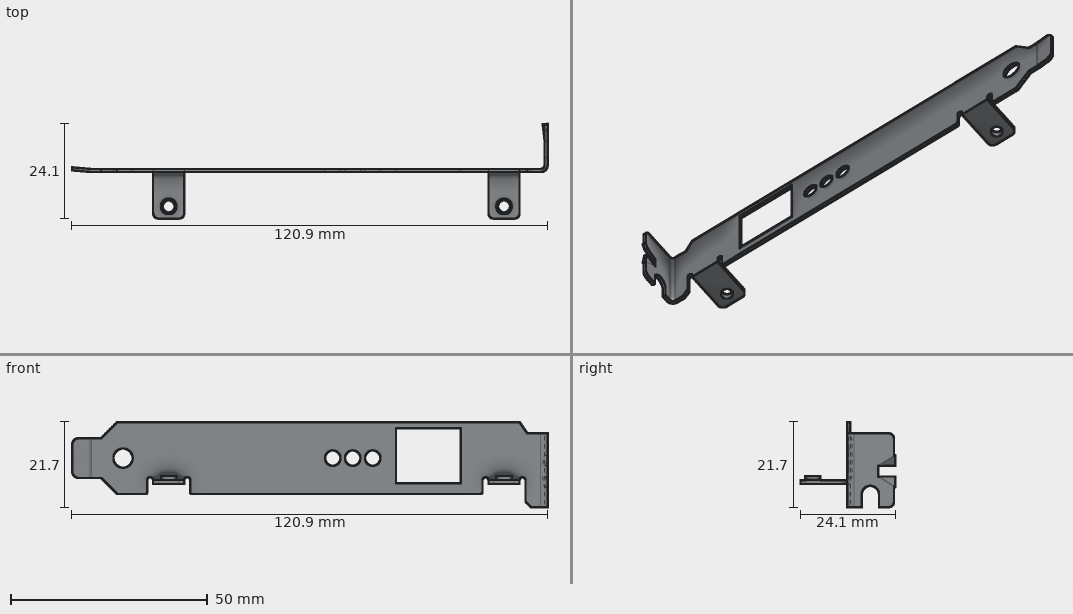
import cadquery as cq
import math


LENGTH = 120.9
SHEET = 0.8
PANEL_HEIGHT = 18.3
FLANGE_BOTTOM = -3.4
FLANGE_TOP = 15.5
FLANGE_DEPTH = 12.0
BEND_OUTER_RADIUS = 1.8
BEND_INNER_RADIUS = BEND_OUTER_RADIUS - SHEET

TONGUE_HEIGHT = 10.2
TONGUE_TILT = 5.0
TONGUE_FOLD_X = 5.0
TONGUE_BEND_INNER_RADIUS = 3.9
TONGUE_BEND_OUTER_RADIUS = TONGUE_BEND_INNER_RADIUS + SHEET
TONGUE_CORNER_RADIUS = 1.7
TAPER_START_X = 7.4
TAPER_END_X = TAPER_START_X + (PANEL_HEIGHT - TONGUE_HEIGHT) / 2

TOP_CHAMFER_START_X = 113.7
TOP_CHAMFER_END_X = 115.7
FOOT_CHAMFER = 1.5

MID_Z = PANEL_HEIGHT / 2
MOUNT_HOLE_X = 12.9
MOUNT_HOLE_DIAMETER = 4.8
LED_HOLE_DIAMETER = 3.9
LED_PITCH = 5.1
LED_MIDDLE_X = 71.3
LED_COUNT = 3
WINDOW_LEFT = 82.3
WINDOW_BOTTOM = 2.8
WINDOW_WIDTH = 16.4
WINDOW_HEIGHT = 13.9

EAR_CENTRES_X = (24.5, 109.7)
EAR_WIDTH = 8.0
EAR_REACH = 11.8
EAR_BOTTOM = 2.5
EAR_THICKNESS = 1.0
EAR_TOP = EAR_BOTTOM + EAR_THICKNESS
EAR_CORNER_RADIUS = 1.5
RELIEF_WIDTH = 1.5
NOTCH_WIDTH = EAR_WIDTH + 2 * RELIEF_WIDTH
NOTCH_LIP_RADIUS = 0.5
FOOT_X = EAR_CENTRES_X[1] + NOTCH_WIDTH / 2
BOSS_DIAMETER = 4.0
BOSS_HEIGHT = 1.1
BOSS_HOLE_DIAMETER = 3.0
BOSS_Y = -8.7

FLANGE_CORNER_RADIUS = 1.5
SCREW_SLOT_Y = 5.9
SCREW_SLOT_WIDTH = 4.4
SCREW_SLOT_TOP = 2.0
REAR_SLOT_Z = 5.8
REAR_SLOT_WIDTH = 2.9
REAR_SLOT_BOTTOM_Y = 8.0

FLAP_END_Y = 12.2
FLAP_RISE = 2.7
FLAP_ANGLE = 12.0


def box(x_range, y_range, z_range):
    """Box spanning the given ranges."""
    size = [high - low for low, high in (x_range, y_range, z_range)]
    return cq.Workplane("XY").box(*size, centered=False).translate((x_range[0], y_range[0], z_range[0]))


def bent_strip():
    """Sheet seen edge-on: tilted tongue, straight panel, round bend and flange."""
    tilt = math.radians(TONGUE_TILT)

    def tongue_bend(radius, angle):
        """Point on the tongue bend, whose centre lies behind the panel."""
        return (TONGUE_FOLD_X - radius * math.sin(angle), TONGUE_BEND_OUTER_RADIUS - radius * math.cos(angle))

    def tongue_end(radius):
        """Tip of the tongue face that leaves the bend at the given radius."""
        x, y = tongue_bend(radius, tilt)
        return (0, y + x * math.tan(tilt))

    bend_x = LENGTH - BEND_OUTER_RADIUS
    half = math.sqrt(0.5)
    outer_mid = BEND_OUTER_RADIUS * half
    inner_mid = BEND_INNER_RADIUS * half
    return (
        cq.Workplane("XY", origin=(0, 0, FLANGE_BOTTOM))
        .moveTo(*tongue_end(TONGUE_BEND_OUTER_RADIUS))
        .lineTo(*tongue_bend(TONGUE_BEND_OUTER_RADIUS, tilt))
        .threePointArc(tongue_bend(TONGUE_BEND_OUTER_RADIUS, tilt / 2), (TONGUE_FOLD_X, 0))
        .lineTo(bend_x, 0)
        .threePointArc((bend_x + outer_mid, BEND_OUTER_RADIUS - outer_mid), (LENGTH, BEND_OUTER_RADIUS))
        .lineTo(LENGTH, FLANGE_DEPTH)
        .lineTo(LENGTH - SHEET, FLANGE_DEPTH)
        .lineTo(LENGTH - SHEET, BEND_OUTER_RADIUS)
        .threePointArc((bend_x + inner_mid, BEND_OUTER_RADIUS - inner_mid), (bend_x, SHEET))
        .lineTo(TONGUE_FOLD_X, SHEET)
        .threePointArc(
            tongue_bend(TONGUE_BEND_INNER_RADIUS, tilt / 2),
            tongue_bend(TONGUE_BEND_INNER_RADIUS, tilt),
        )
        .lineTo(*tongue_end(TONGUE_BEND_INNER_RADIUS))
        .close()
        .extrude(PANEL_HEIGHT - FLANGE_BOTTOM)
    )


def front_outline():
    """Front outline of the bracket as a block deep enough to trim the whole strip."""
    tongue_bottom = MID_Z - TONGUE_HEIGHT / 2
    tongue_top = MID_Z + TONGUE_HEIGHT / 2
    block = (
        cq.Workplane("XZ")
        .moveTo(0, tongue_bottom)
        .lineTo(TAPER_START_X, tongue_bottom)
        .lineTo(TAPER_END_X, 0)
        .lineTo(FOOT_X, 0)
        .lineTo(FOOT_X, FLANGE_BOTTOM + FOOT_CHAMFER)
        .lineTo(FOOT_X + FOOT_CHAMFER, FLANGE_BOTTOM)
        .lineTo(LENGTH, FLANGE_BOTTOM)
        .lineTo(LENGTH, FLANGE_TOP)
        .lineTo(TOP_CHAMFER_END_X, FLANGE_TOP)
        .lineTo(TOP_CHAMFER_START_X, PANEL_HEIGHT)
        .lineTo(TAPER_END_X, PANEL_HEIGHT)
        .lineTo(TAPER_START_X, tongue_top)
        .lineTo(0, tongue_top)
        .close()
        .extrude(-FLANGE_DEPTH)
    )
    return block.edges("|Y and <X").fillet(TONGUE_CORNER_RADIUS)


def panel_openings():
    """Mounting hole, row of LED holes and connector window."""
    led_places = [(LED_MIDDLE_X + (i - (LED_COUNT - 1) / 2) * LED_PITCH, MID_Z) for i in range(LED_COUNT)]
    holes = cq.Workplane("XZ").pushPoints([(MOUNT_HOLE_X, MID_Z)]).circle(MOUNT_HOLE_DIAMETER / 2).extrude(-SHEET)
    leds = cq.Workplane("XZ").pushPoints(led_places).circle(LED_HOLE_DIAMETER / 2).extrude(-SHEET)
    window = box(
        (WINDOW_LEFT, WINDOW_LEFT + WINDOW_WIDTH),
        (0, SHEET),
        (WINDOW_BOTTOM, WINDOW_BOTTOM + WINDOW_HEIGHT),
    )
    return holes.union(leds).union(window)


def ear_notch(centre_x):
    """Notch in the lower panel edge up to the ear, with a round-topped relief at each side."""
    half = NOTCH_WIDTH / 2
    relief_radius = RELIEF_WIDTH / 2
    relief_offset = half - relief_radius
    notch = box((centre_x - half, centre_x + half), (0, SHEET), (0, EAR_BOTTOM))
    for side in (-1, 1):
        relief_x = centre_x + side * relief_offset
        relief = box(
            (relief_x - relief_radius, relief_x + relief_radius),
            (0, SHEET),
            (0, EAR_TOP),
        )
        round_top = cq.Workplane("XZ").center(relief_x, EAR_TOP).circle(relief_radius).extrude(-SHEET)
        notch = notch.union(relief).union(round_top)
    return notch


def ear(centre_x):
    """Horizontal ear with rounded front corners and a drilled boss on top."""
    half = EAR_WIDTH / 2
    plate = box((centre_x - half, centre_x + half), (-EAR_REACH, SHEET), (EAR_BOTTOM, EAR_TOP))
    plate = plate.edges("|Z and <Y").fillet(EAR_CORNER_RADIUS)
    axis = cq.Workplane("XY", origin=(centre_x, BOSS_Y, EAR_BOTTOM))
    boss = axis.circle(BOSS_DIAMETER / 2).extrude(EAR_THICKNESS + BOSS_HEIGHT)
    hole = axis.circle(BOSS_HOLE_DIAMETER / 2).extrude(EAR_THICKNESS + BOSS_HEIGHT)
    return plate.union(boss).cut(hole)


def flange_cutouts():
    """Screw slot, and the rear slot widened by the two triangles that are folded away."""
    radius = SCREW_SLOT_WIDTH / 2
    half_slot = REAR_SLOT_WIDTH / 2
    flange_plane = cq.Workplane("YZ", origin=(LENGTH - SHEET, 0, 0))
    screw_slot = (
        flange_plane.moveTo(SCREW_SLOT_Y - radius, FLANGE_BOTTOM)
        .lineTo(SCREW_SLOT_Y + radius, FLANGE_BOTTOM)
        .lineTo(SCREW_SLOT_Y + radius, SCREW_SLOT_TOP - radius)
        .threePointArc((SCREW_SLOT_Y, SCREW_SLOT_TOP), (SCREW_SLOT_Y - radius, SCREW_SLOT_TOP - radius))
        .close()
        .extrude(SHEET)
    )
    rear_slot = (
        flange_plane.moveTo(REAR_SLOT_BOTTOM_Y, REAR_SLOT_Z - half_slot)
        .lineTo(FLAP_END_Y, REAR_SLOT_Z - half_slot - FLAP_RISE)
        .lineTo(FLAP_END_Y, REAR_SLOT_Z + half_slot + FLAP_RISE)
        .lineTo(REAR_SLOT_BOTTOM_Y, REAR_SLOT_Z + half_slot)
        .close()
        .extrude(SHEET)
    )
    return screw_slot.union(rear_slot)


def upper_flap():
    """Triangle above the rear slot, turned about its sloping fold line, with the bend that joins it."""
    inner_x = LENGTH - SHEET
    slot_top = REAR_SLOT_Z + REAR_SLOT_WIDTH / 2
    fold_run = FLAP_END_Y - REAR_SLOT_BOTTOM_Y
    fold_length = math.hypot(fold_run, FLAP_RISE)
    fold_start = (inner_x, REAR_SLOT_BOTTOM_Y, slot_top)
    fold_end = (inner_x, FLAP_END_Y, slot_top + FLAP_RISE)
    triangle = (
        cq.Workplane("YZ", origin=(inner_x, 0, 0))
        .moveTo(REAR_SLOT_BOTTOM_Y, slot_top)
        .lineTo(FLAP_END_Y, slot_top)
        .lineTo(FLAP_END_Y, slot_top + FLAP_RISE)
        .close()
        .extrude(SHEET)
        .rotate(fold_start, fold_end, FLAP_ANGLE)
    )
    section = cq.Plane(origin=fold_start, xDir=(0, fold_run, FLAP_RISE), normal=(0, FLAP_RISE, -fold_run))
    bend = (
        cq.Workplane(section)
        .rect(fold_length, SHEET, centered=False)
        .revolve(FLAP_ANGLE, (0, 0, 0), (fold_length, 0, 0))
    )
    return triangle.union(bend)


result = bent_strip().intersect(front_outline())
result = result.edges("|X and >Y").fillet(FLANGE_CORNER_RADIUS)

result = result.cut(panel_openings()).cut(flange_cutouts())
for ear_x in EAR_CENTRES_X:
    result = result.cut(ear_notch(ear_x))
    for lip_x in (ear_x - NOTCH_WIDTH / 2, ear_x + NOTCH_WIDTH / 2):
        if lip_x < FOOT_X:
            lip = cq.NearestToPointSelector((lip_x, SHEET / 2, 0))
            result = result.edges(lip).fillet(NOTCH_LIP_RADIUS)

for ear_x in EAR_CENTRES_X:
    result = result.union(ear(ear_x))
flap = upper_flap()
result = result.union(flap).union(flap.mirror("XY", (0, 0, REAR_SLOT_Z)))